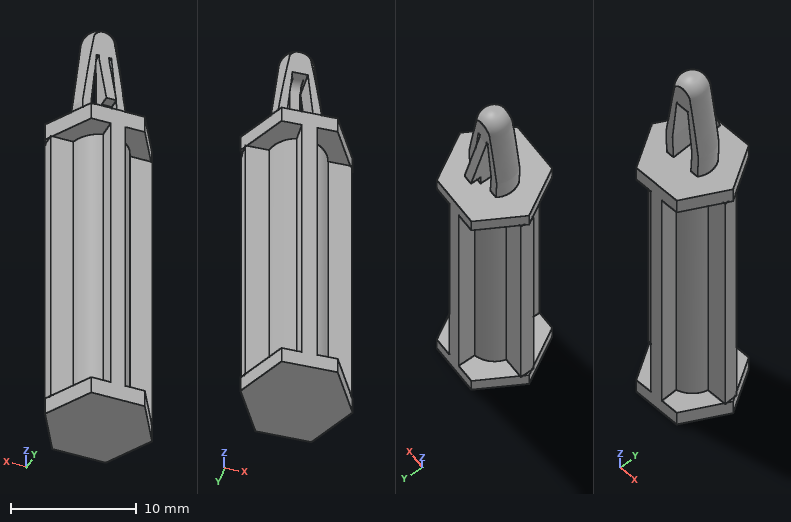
import cadquery as cq
import math

total_height = 39.4
hex_across_flats = 8.0
hex_across_corners = hex_across_flats / math.cos(math.pi / 6)
flange_thickness = 1.55
shoulder_height = 29.05

core_diameter = 5.0
rib_thickness = 1.25
rib_span_x = 8.75
rib_span_y = hex_across_flats

tip_radius = 1.45
tip_center_height = total_height - tip_radius
pin_widest_radius = 2.15
pin_widest_height = 31.52
pin_base_radius = 2.1
pin_thickness = 2.3

slot_top_height = 36.4
slot_top_half_width = 0.65
slot_widest_half_width = 1.1
slot_base_half_width = 1.0

tongue_width = 0.85
tongue_front_y = 0.5
tongue_root_radius = 1.0
tongue_exit_height = 36.1
barb_tip_y = 2.65
barb_height = 31.1
tongue_back_y = 1.7
tongue_bottom_height = 30.02


def hex_flange(bottom):
    return (
        cq.Workplane("XY", origin=(0, 0, bottom))
        .polygon(6, hex_across_corners)
        .extrude(flange_thickness)
    )


def ribbed_column():
    column_length = shoulder_height - 2 * flange_thickness
    base = cq.Workplane("XY", origin=(0, 0, flange_thickness))
    core = base.circle(core_diameter / 2).extrude(column_length)
    rib_x = base.rect(rib_span_x, rib_thickness).extrude(column_length)
    rib_y = base.rect(rib_thickness, rib_span_y).extrude(column_length)
    return core.union(rib_x).union(rib_y)


def snap_pin():
    arc_middle = tip_radius * math.sqrt(0.5)
    turned = (
        cq.Workplane("XZ")
        .moveTo(0, shoulder_height)
        .lineTo(pin_base_radius, shoulder_height)
        .lineTo(pin_widest_radius, pin_widest_height)
        .lineTo(tip_radius, tip_center_height)
        .threePointArc((arc_middle, tip_center_height + arc_middle), (0, total_height))
        .close()
        .revolve(360, (0, 0, 0), (0, 1, 0))
    )
    flats = cq.Workplane("XY").box(2 * pin_widest_radius, pin_thickness, 2 * total_height)
    slot = (
        cq.Workplane("XZ")
        .polyline([
            (-slot_base_half_width, shoulder_height),
            (-slot_widest_half_width, pin_widest_height),
            (-slot_top_half_width, slot_top_height),
            (slot_top_half_width, slot_top_height),
            (slot_widest_half_width, pin_widest_height),
            (slot_base_half_width, shoulder_height),
        ])
        .close()
        .extrude(pin_thickness, both=True)
    )
    return turned.intersect(flats).cut(slot)


def locking_tongue():
    root_start_height = slot_top_height - tongue_root_radius
    root_end_y = tongue_front_y - tongue_root_radius
    arc_offset = tongue_root_radius * math.sqrt(0.5)
    root_overlap_height = slot_top_height + 0.4
    pin_back_y = pin_thickness / 2
    return (
        cq.Workplane("YZ")
        .moveTo(tongue_front_y, tongue_bottom_height)
        .lineTo(tongue_front_y, root_start_height)
        .threePointArc(
            (root_end_y + arc_offset, root_start_height + arc_offset),
            (root_end_y, slot_top_height),
        )
        .lineTo(root_end_y, root_overlap_height)
        .lineTo(pin_back_y, root_overlap_height)
        .lineTo(pin_back_y, tongue_exit_height)
        .lineTo(barb_tip_y, barb_height)
        .lineTo(tongue_back_y, barb_height)
        .lineTo(tongue_back_y, tongue_bottom_height)
        .close()
        .extrude(tongue_width / 2, both=True)
    )


result = (
    ribbed_column()
    .union(hex_flange(0))
    .union(hex_flange(shoulder_height - flange_thickness))
    .union(snap_pin())
    .union(locking_tongue())
)